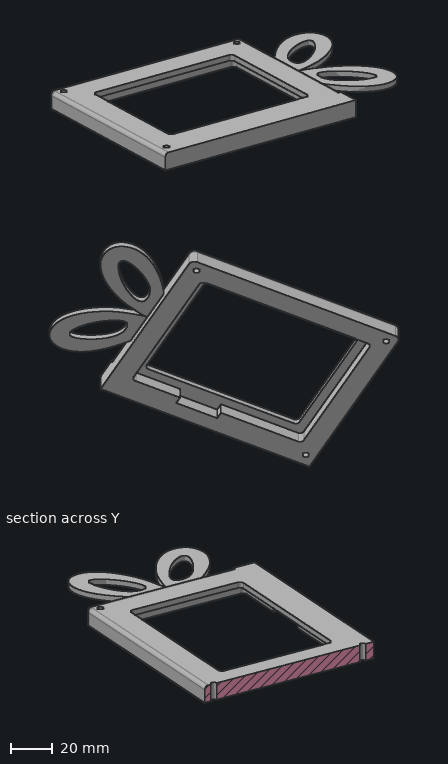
import cadquery as cq
import math

FRAME_WIDTH = 95.72
FRAME_HEIGHT = 112.5
FRAME_THICKNESS = 9.0
CORNER_RADIUS = 3.0
EDGE_RADIUS = 2.0

WINDOW_MARGIN = 15.2
WINDOW_WIDTH = 63.4
WINDOW_RADIUS = 2.0
LIP_THICKNESS = 3.0
REBATE_LEDGE = 4.7

NOTCH_LENGTH = 22.0
NOTCH_DEPTH = 4.0
NOTCH_CENTRE_Y = 65.0

HOLE_DIAMETER = 3.0
HOLE_INSET = 5.2
RIGHT_HOLE_INSET = 6.3

BOW_CENTRE_X = 46.6
BOW_THICKNESS = 3.0
BOW_BOTTOM_Z = 4.0
BOW_EMBED = 2.0
LOOP_LEAN = 39.1
LOOP_ROOT_X = 2.8
LOOP_ROOT_DROP = 2.6

LOOP_OUTER = [(-1.1, 0.0), (5.0, 6.6), (20.0, 11.9), (38.2, 11.5), (45.5, 7.3), (48.8, 0.0)]
LOOP_EYE = [(10.9, 0.0), (20.7, 5.53), (39.0, 0.0)]

WINDOW_HEIGHT = FRAME_HEIGHT - 2 * WINDOW_MARGIN
WINDOW_CENTRE_X = WINDOW_MARGIN + WINDOW_WIDTH / 2
WINDOW_CENTRE_Y = FRAME_HEIGHT / 2
REBATE_DEPTH = FRAME_THICKNESS - LIP_THICKNESS
REBATE_RIGHT_X = WINDOW_MARGIN + WINDOW_WIDTH + REBATE_LEDGE


def make_body():
    """Frame block with rounded front edges; the top edge stays sharp right of the rebate."""
    block = cq.Workplane("XY").box(FRAME_WIDTH, FRAME_HEIGHT, FRAME_THICKNESS, centered=False)
    body = block.edges("|Z and <X").fillet(CORNER_RADIUS)
    body = body.faces(">Z").edges("not >X").fillet(EDGE_RADIUS)
    sharp_end = (
        cq.Workplane("XY")
        .box(FRAME_WIDTH - REBATE_RIGHT_X, WINDOW_MARGIN, FRAME_THICKNESS, centered=False)
        .translate((REBATE_RIGHT_X, FRAME_HEIGHT - WINDOW_MARGIN, 0))
    )
    return body.union(sharp_end)


def rounded_opening(margin, depth):
    """Round-cornered block reaching past the window by a margin, standing on the underside."""
    return (
        cq.Workplane("XY")
        .center(WINDOW_CENTRE_X, WINDOW_CENTRE_Y)
        .rect(WINDOW_WIDTH + 2 * margin, WINDOW_HEIGHT + 2 * margin)
        .extrude(depth)
        .edges("|Z")
        .fillet(WINDOW_RADIUS)
    )


def make_notch():
    """Cutter that widens the rebate to the right over a short length."""
    return (
        cq.Workplane("XY")
        .box(NOTCH_DEPTH, NOTCH_LENGTH, REBATE_DEPTH, centered=(False, True, False))
        .translate((REBATE_RIGHT_X, NOTCH_CENTRE_Y, 0))
    )


def make_screw_holes():
    """Cutters for the through holes; the upper right corner has none."""
    top_y = FRAME_HEIGHT - HOLE_INSET
    right_x = FRAME_WIDTH - RIGHT_HOLE_INSET
    centres = [(HOLE_INSET, HOLE_INSET), (HOLE_INSET, top_y), (right_x, HOLE_INSET)]
    return cq.Workplane("XY").pushPoints(centres).circle(HOLE_DIAMETER / 2).extrude(FRAME_THICKNESS)


def loop_prism(half_outline, side):
    """Prism of a smooth outline about the axis of one loop; side is 1 for right, -1 for left."""
    lean = math.radians(LOOP_LEAN)
    mirrored_half = [(along, -across) for along, across in half_outline[-2:0:-1]]
    points = []
    for along, across in half_outline + mirrored_half:
        offset_x = LOOP_ROOT_X + along * math.sin(lean) + across * math.cos(lean)
        y = FRAME_HEIGHT - LOOP_ROOT_DROP + along * math.cos(lean) - across * math.sin(lean)
        points.append((BOW_CENTRE_X + side * offset_x, y))
    return (
        cq.Workplane("XY", origin=(0, 0, BOW_BOTTOM_Z))
        .spline(points, periodic=True)
        .close()
        .extrude(BOW_THICKNESS)
    )


def make_loop(side):
    """One loop with its eye, kept to its own half of the bow and a short root inside the frame."""
    keep = (
        cq.Workplane("XY")
        .box(FRAME_WIDTH, FRAME_HEIGHT, FRAME_THICKNESS, centered=(True, False, False))
        .translate((BOW_CENTRE_X + side * FRAME_WIDTH / 2, FRAME_HEIGHT - BOW_EMBED, 0))
    )
    return loop_prism(LOOP_OUTER, side).cut(loop_prism(LOOP_EYE, side)).intersect(keep)


result = (
    make_body()
    .union(make_loop(1))
    .union(make_loop(-1))
    .cut(rounded_opening(0, FRAME_THICKNESS))
    .cut(rounded_opening(REBATE_LEDGE, REBATE_DEPTH))
    .cut(make_notch())
    .cut(make_screw_holes())
)